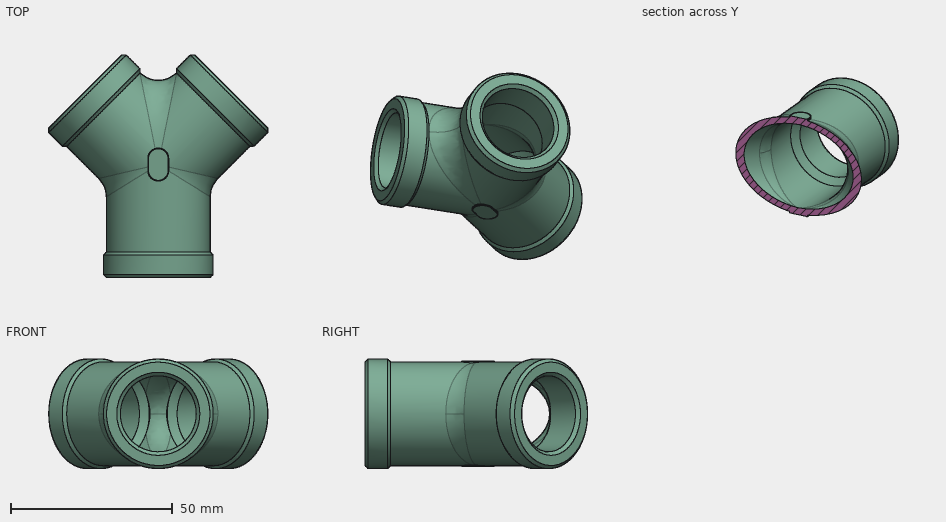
import cadquery as cq
import math

overall_length = 68.95
branch_length = 32.0
branch_angle = 45

body_radius = 32.2 / 2
body_blend = 8.0
collar_radius = 34.0 / 2
collar_length = 8.0
end_face_radius = 32.0 / 2
collar_chamfer = collar_radius - end_face_radius

slope = math.radians(branch_angle)
branch_reach = branch_length * math.sin(slope) + end_face_radius * math.cos(slope)
stem_length = overall_length - branch_reach
legs = [
    (-90, stem_length),
    (branch_angle, branch_length),
    (180 - branch_angle, branch_length),
]

chamber_radius = 27.8 / 2
chamber_blend = 6.0
bore_radius = 23.5 / 2
bore_length = 12.0
mouth_chamfer = 1.1
shoulder_length = chamber_radius - bore_radius

badge_length = 10.2
badge_width = 6.5
badge_height = 0.3
badge_chamfer = 0.2


def along_leg(shape, angle):
    """Turn a shape built along +X into the direction of a leg."""
    return shape.rotate((0, 0, 0), (0, 0, 1), angle)


def revolve_about_x(profile):
    """Revolve a closed (distance along leg, radius) profile about the X axis."""
    return cq.Workplane("XY").polyline(profile).close().revolve(360, (0, 0, 0), (1, 0, 0))


def pipe_junction(radius, blend):
    """Join one plain round pipe per leg at the origin and round the creases between them.

    The pipes stop half a collar short of the end faces.
    """
    pipes = cq.Workplane("XY")
    for angle, length in legs:
        pipe = cq.Workplane("YZ").circle(radius).extrude(length - collar_length / 2)
        pipes = pipes.add(along_leg(pipe, angle))
    return pipes.combine().edges("%ELLIPSE").fillet(blend)


def collar(length):
    """Thick ring at the end of a leg, chamfered on both edges."""
    start = length - collar_length
    return revolve_about_x([
        (start, 0),
        (start, body_radius),
        (start + collar_chamfer, collar_radius),
        (length - collar_chamfer, collar_radius),
        (length, end_face_radius),
        (length, 0),
    ])


def bore(length):
    """Bore of a leg, with its shoulder to the chamber and its mouth chamfer."""
    start = length - bore_length
    return revolve_about_x([
        (start - shoulder_length, 0),
        (start - shoulder_length, chamber_radius),
        (start, bore_radius),
        (length - mouth_chamfer, bore_radius),
        (length, bore_radius + mouth_chamfer),
        (length, 0),
    ])


def beyond_chamber(length):
    """Stretch of a leg past its chamber, wide enough to trim the chamber off flat."""
    start = length - bore_length - shoulder_length
    return cq.Workplane("YZ", origin=(start, 0, 0)).circle(collar_radius).extrude(length - start)


def badge():
    """Raised rounded pad on top of the junction, long side along Y, rooted in the wall."""
    root = (body_radius + chamber_radius) / 2
    return (
        cq.Workplane("XY", origin=(0, 0, root))
        .slot2D(badge_length, badge_width, 90)
        .extrude(body_radius + badge_height - root)
        .faces(">Z")
        .chamfer(badge_chamfer)
    )


body = pipe_junction(body_radius, body_blend)
for angle, length in legs:
    body = body.union(along_leg(collar(length), angle))
top_badge = badge()
body = body.union(top_badge).union(top_badge.mirror("XY"))

cavity = pipe_junction(chamber_radius, chamber_blend)
for angle, length in legs:
    cavity = cavity.cut(along_leg(beyond_chamber(length), angle))
for angle, length in legs:
    cavity = cavity.union(along_leg(bore(length), angle))

result = body.cut(cavity)